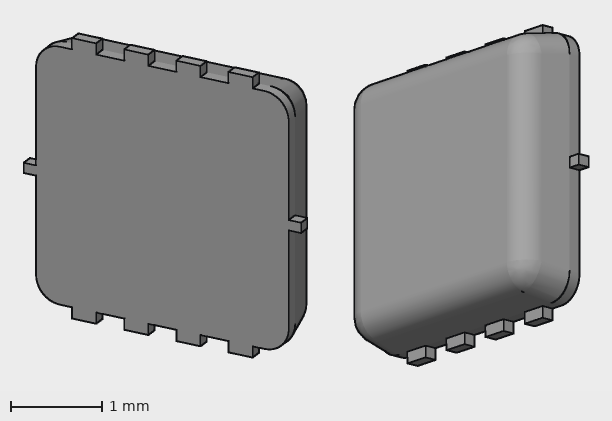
import cadquery as cq
import math

total_width = 3.45
total_depth = 0.75
total_height = 3.36

body_width = 3.143
body_height = 3.09
band_depth = 0.15
edge_radius = 0.3
draft_angle = 10.0

lead_count = 4
lead_width = 0.3
lead_pitch = 0.65
tab_width = 0.125

mounting_plane = cq.Plane(origin=(0, 0, 0), xDir=(-1, 0, 0), normal=(0, 1, 0))


def make_band():
    """Straight-sided base with rounded corners."""
    return (
        cq.Workplane(mounting_plane)
        .rect(body_width, body_height)
        .extrude(band_depth)
        .edges("|Y")
        .fillet(edge_radius)
    )


def make_cap():
    """Drafted cap with equally rounded corners and crown edges."""
    cap_depth = total_depth - band_depth
    inset = cap_depth * math.tan(math.radians(draft_angle))
    return (
        cq.Workplane(mounting_plane)
        .workplane(offset=band_depth)
        .rect(body_width, body_height)
        .workplane(offset=cap_depth)
        .rect(body_width - 2 * inset, body_height - 2 * inset)
        .loft(ruled=True)
        .edges("not <Y")
        .fillet(edge_radius)
    )


def make_bar(width, height, x_center=0):
    """Bar of band thickness running through the body from end to end."""
    return (
        cq.Workplane("XY")
        .box(width, band_depth, height, centered=(True, False, True))
        .translate((x_center, 0, 0))
    )


result = make_band().union(make_cap())

for index in range(lead_count):
    lead_x = (index - (lead_count - 1) / 2) * lead_pitch
    result = result.union(make_bar(lead_width, total_height, lead_x))

result = result.union(make_bar(total_width, tab_width)).clean()